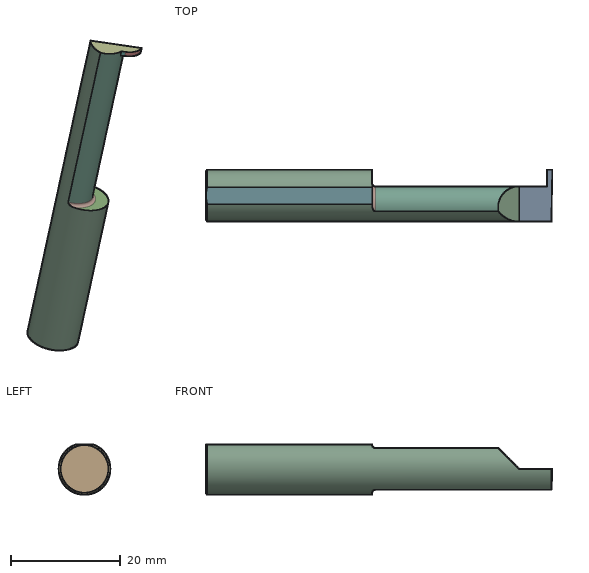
import cadquery as cq
import math


total_length = 63.5
shank_diameter = 9.52
shank_radius = shank_diameter / 2
shank_length = 30.5

flat_height = 4.5
end_chamfer_radial = 0.4
end_chamfer_axial = 0.3

neck_radius = 3.85
neck_reach_y = 1.69
neck_center_y = neck_reach_y - neck_radius
neck_fillet = 0.6

rake_start_x = 57.4
rake_runout = shank_radius

tooth_width = 1.0
tooth_relief_radius = 3.2
tooth_relief_angle = 18
end_relief_angle = 1.0
end_undercut_angle = 1.0


def cylinder_along_x(radius, start_x, end_x, center_y=0):
    """Solid cylinder parallel to X, at the height of the shank axis."""
    return (
        cq.Workplane("YZ", origin=(start_x, center_y, 0))
        .circle(radius)
        .extrude(end_x - start_x)
    )


def make_shank():
    """Chamfered cylinder with a clamping flat along its top."""
    shank = (
        cylinder_along_x(shank_radius, 0, shank_length)
        .faces("<X")
        .edges()
        .chamfer(end_chamfer_axial, end_chamfer_radial)
    )
    above_flat = (
        cq.Workplane("XY", origin=(0, 0, flat_height))
        .rect(2 * shank_length, shank_diameter)
        .extrude(shank_diameter)
    )
    return shank.cut(above_flat)


def make_neck():
    """Lens-shaped bar, flared by a fillet where it leaves the shank."""
    flare_radius = neck_radius + neck_fillet
    flare_end_x = shank_length + neck_fillet
    core = (
        cq.Workplane("XY")
        .moveTo(shank_length, 0)
        .lineTo(shank_length, flare_radius)
        .radiusArc((flare_end_x, neck_radius), -neck_fillet)
        .lineTo(total_length, neck_radius)
        .lineTo(total_length, 0)
        .close()
        .revolve(360, (0, 0, 0), (1, 0, 0))
        .translate((0, neck_center_y, 0))
    )
    return core.intersect(cylinder_along_x(shank_radius, shank_length, total_length))


def make_tooth():
    """Cutting tooth reaching from the neck out to the shank radius."""
    relief_slope = math.radians(tooth_relief_angle)
    arc_center_y = shank_radius - tooth_relief_radius * math.cos(relief_slope)
    arc_center_z = tooth_relief_radius * math.sin(relief_slope)
    arc_bottom_z = arc_center_z - tooth_relief_radius
    return (
        cq.Workplane("YZ", origin=(total_length - tooth_width, 0, 0))
        .moveTo(neck_center_y, 0)
        .lineTo(shank_radius, 0)
        .radiusArc((arc_center_y, arc_bottom_z), tooth_relief_radius)
        .lineTo(neck_center_y, arc_bottom_z)
        .close()
        .extrude(tooth_width)
    )


def make_rake_cut():
    """Stock above the cutting plane, bounded by the 45 degree run-out."""
    return (
        cq.Workplane("XZ", origin=(0, shank_diameter, 0))
        .moveTo(rake_start_x, 0)
        .lineTo(rake_start_x - rake_runout, rake_runout)
        .lineTo(total_length, rake_runout)
        .lineTo(total_length, 0)
        .close()
        .extrude(2 * shank_diameter)
    )


def make_end_relief_cut():
    """Block beyond the end face, tilted so that only the cutting tip keeps the full length."""
    tip = cq.Vector(total_length, shank_radius, 0)
    block_size = 4 * shank_diameter
    return (
        cq.Workplane("YZ", origin=tip.toTuple())
        .rect(block_size, block_size)
        .extrude(shank_diameter)
        .rotate(tip, tip + cq.Vector(0, 1, 0), end_undercut_angle)
        .rotate(tip, tip + cq.Vector(0, 0, 1), -end_relief_angle)
    )


result = make_shank().union(make_neck()).union(make_tooth())
result = result.cut(make_rake_cut()).cut(make_end_relief_cut())